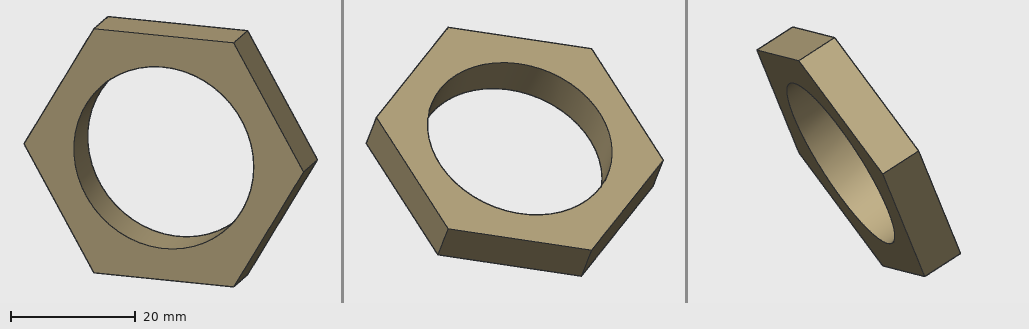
import cadquery as cq

across_corners = 47.35
thickness = 7.0
bore_diameter = 30.45

result = (
    cq.Workplane("XZ", origin=(0, thickness / 2, 0))
    .polygon(6, across_corners)
    .circle(bore_diameter / 2)
    .extrude(thickness)
)